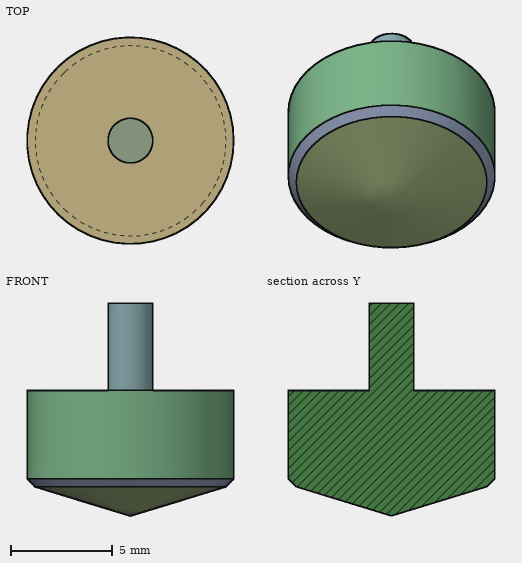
import cadquery as cq

total_height = 10.5
body_diameter = 10.2
pin_diameter = 2.2

pin_length = 4.3
chamfer = 0.4
cone_height = 1.44

body_radius = body_diameter / 2
pin_radius = pin_diameter / 2
cone_radius = body_radius - chamfer

chamfer_top = cone_height + chamfer
body_top = total_height - pin_length

half_profile = (
    cq.Workplane("XZ")
    .moveTo(0, 0)
    .lineTo(cone_radius, cone_height)
    .lineTo(body_radius, chamfer_top)
    .lineTo(body_radius, body_top)
    .lineTo(pin_radius, body_top)
    .lineTo(pin_radius, total_height)
    .lineTo(0, total_height)
    .close()
)

result = half_profile.revolve(360, (0, 0, 0), (0, 1, 0))